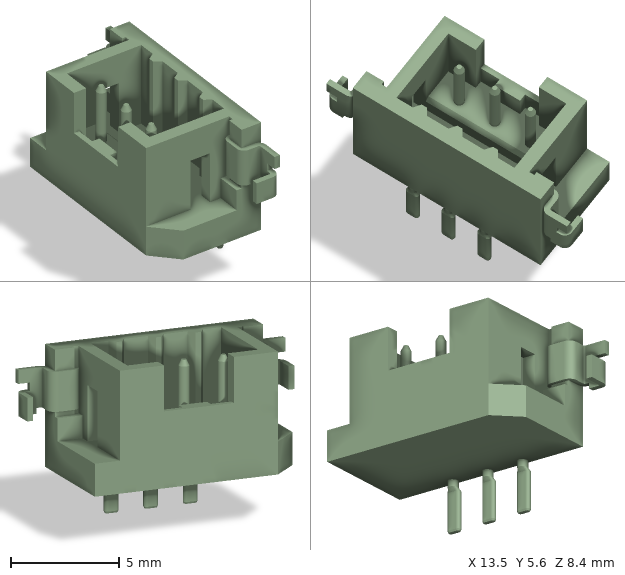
import cadquery as cq

body_width = 10.53
body_depth = 5.6
body_height = 5.89
half_width = body_width / 2

cavity_width = 6.62
front_wall = 0.69
back_wall = 0.72
cavity_back = body_depth - back_wall
front_floor_z = 2.5
rear_floor_z = 1.58
floor_step_y = 2.51
floor_chamfer = 0.2

window_width = 3.54
window_sill_z = 3.69
groove_gap = 1.43
groove_skin = 0.28

rib_base_width = 0.78
rib_tip_width = 0.3
rib_height = 0.36

shoulder_z = rear_floor_z
shoulder_width = 1.27
shoulder_x = half_width - shoulder_width
pedestal_depth = 1.39
pedestal_front = body_depth - pedestal_depth
pedestal_z = 2.67
block_depth = 1.11
block_front = body_depth - block_depth
pocket_width = 0.28
pocket_depth = 0.19
pocket_back = block_front + pocket_depth
opening_front = floor_step_y
opening_width = 1.11
opening_top = 4.27
corner_chamfer_depth = 1.2

pin_pitch = 2.0
pin_positions = [-pin_pitch, 0, pin_pitch]
pin_radius = 0.25
pin_y = 1.7
pin_top = 5.55
pin_cone_height = 0.28
pin_tip_radius = 0.12
pin_root_z = 0.68

tail_width = 0.72
tail_thickness = 0.32
tail_start_z = -0.53
tail_end_z = -2.51
tail_end_inset = 0.04
tail_end_height = 0.1
neck_end_z = -0.32
bend_radius = 0.39
bend_end_z = -0.11

overall_width = 13.5
half_clip = overall_width / 2
strip = 0.3
small_bend = 0.1
large_bend = 0.11
small_outer = small_bend + strip
large_outer = large_bend + strip
clip_bottom = 2.95
clip_top = 4.87
clip_depth = 1.31
clip_front = body_depth - clip_depth
clip_embed = 0.14
clip_root = pocket_back + clip_embed
notch_top = 4.21
notch_depth = 0.6
tab_bottom = pedestal_z
tab_top = 3.81
tab_root_width = 0.92


def box(x_range, y_range, z_range):
    """Box spanning the given (low, high) ranges."""
    size = [high - low for low, high in (x_range, y_range, z_range)]
    corner = (x_range[0], y_range[0], z_range[0])
    return cq.Workplane("XY").box(*size, centered=False).translate(corner)


def upright(outline, bottom, top):
    """Prism with the given XY outline between two heights."""
    return cq.Workplane("XY", origin=(0, 0, bottom)).polyline(outline).close().extrude(top - bottom)


def round_edge(solid, x, y, radius):
    """Fillet the vertical edge of the solid that stands at (x, y)."""
    near = 0.001
    around = cq.selectors.BoxSelector((x - near, y - near, 0), (x + near, y + near, body_height))
    return solid.edges("|Z").edges(around).fillet(radius)


def both_ends(right_half):
    """The given +X solid together with its mirror image at -X."""
    return right_half.union(right_half.mirror("YZ"))


def cavity():
    """Open-topped cavity whose floor steps down toward the back over a chamfered edge."""
    side_profile = [
        (front_wall, body_height),
        (front_wall, front_floor_z),
        (floor_step_y - floor_chamfer, front_floor_z),
        (floor_step_y, front_floor_z - floor_chamfer),
        (floor_step_y, rear_floor_z),
        (cavity_back, rear_floor_z),
        (cavity_back, body_height),
    ]
    return cq.Workplane("YZ").polyline(side_profile).close().extrude(cavity_width / 2, both=True)


def rib(x):
    """Tapered vertical rib on the back wall."""
    tip_y = cavity_back - rib_height
    section = [
        (x - rib_base_width / 2, cavity_back),
        (x - rib_tip_width / 2, tip_y),
        (x + rib_tip_width / 2, tip_y),
        (x + rib_base_width / 2, cavity_back),
    ]
    return upright(section, rear_floor_z, body_height)


def front_wall_cuts():
    """Window through the front wall and the two grooves down its inner face."""
    half_window = window_width / 2
    window = box((-half_window, half_window), (0, front_wall), (window_sill_z, body_height))
    groove = box((groove_gap / 2, half_window), (groove_skin, front_wall), (front_floor_z, window_sill_z))
    return window.union(both_ends(groove))


def end_cuts():
    """Shoulder, clip space, clip pocket and side opening at each end."""
    end_x = (shoulder_x, half_width)
    pocket_x = (shoulder_x, shoulder_x + pocket_width)
    wall_x = (cavity_width / 2, shoulder_x)
    opening_y = (opening_front, opening_front + opening_width)
    shoulder = box(end_x, (0, pedestal_front), (shoulder_z, body_height))
    clip_space = box(end_x, (pedestal_front, block_front), (pedestal_z, body_height))
    pocket = box(pocket_x, (block_front, pocket_back), (pedestal_z, body_height))
    opening = box(wall_x, opening_y, (shoulder_z, opening_top))
    return both_ends(shoulder.union(clip_space).union(pocket).union(opening))


def corner_chamfer():
    """Wedge that removes the front +X corner of the base."""
    outline = [(shoulder_x, 0), (half_width, 0), (half_width, corner_chamfer_depth)]
    return upright(outline, 0, shoulder_z)


def pin(x):
    """Round contact pin with a conical point."""
    half_profile = [
        (0, pin_root_z),
        (pin_radius, pin_root_z),
        (pin_radius, pin_top - pin_cone_height),
        (pin_tip_radius, pin_top),
        (0, pin_top),
    ]
    return (
        cq.Workplane("XZ", origin=(x, pin_y, 0))
        .polyline(half_profile)
        .close()
        .revolve(360, (0, 0, 0), (0, 1, 0))
    )


def tail(x):
    """Bent round neck flaring into a flattened tail, flush with the back face."""
    neck_y = body_depth - pin_radius
    tail_y = body_depth - tail_thickness / 2
    bend = (
        cq.Workplane("XY", origin=(x, neck_y, bend_end_z))
        .circle(pin_radius)
        .revolve(90, (0, -bend_radius, 0), (1, -bend_radius, 0))
    )
    neck = (
        cq.Workplane("XY", origin=(x, neck_y, neck_end_z))
        .circle(pin_radius)
        .extrude(bend_end_z - neck_end_z)
    )
    flare = (
        cq.Workplane("XY", origin=(x, neck_y, neck_end_z))
        .circle(pin_radius)
        .workplane(offset=tail_start_z - neck_end_z)
        .center(0, tail_y - neck_y)
        .slot2D(tail_width, tail_thickness)
        .loft(combine=True)
    )
    blade = (
        cq.Workplane("XY", origin=(x, tail_y, tail_end_z))
        .slot2D(tail_width, tail_thickness)
        .extrude(tail_start_z - tail_end_z)
        .faces("<Z")
        .chamfer(tail_end_height, tail_end_inset)
    )
    return bend.union(neck).union(flare).union(blade)


def clip_strip():
    """Bent strip running from the housing pocket out to its notched +X end."""
    leg_x = half_width + strip
    root_x = shoulder_x + strip
    inner_y = clip_front + strip
    outer_y = body_depth - strip
    outline = [
        (shoulder_x, clip_root),
        (shoulder_x, clip_front),
        (leg_x, clip_front),
        (leg_x, outer_y),
        (half_clip, outer_y),
        (half_clip, body_depth),
        (half_width, body_depth),
        (half_width, inner_y),
        (root_x, inner_y),
        (root_x, clip_root),
    ]
    bends = [
        (shoulder_x, clip_front, large_outer),
        (root_x, inner_y, large_bend),
        (leg_x, clip_front, large_outer),
        (half_width, inner_y, large_bend),
        (half_width, body_depth, small_outer),
        (leg_x, outer_y, small_bend),
    ]
    bent_strip = upright(outline, clip_bottom, clip_top)
    for x, y, radius in bends:
        bent_strip = round_edge(bent_strip, x, y, radius)
    notch = box((half_clip - notch_depth, half_clip), (outer_y, body_depth), (clip_bottom, notch_top))
    return bent_strip.cut(notch)


def clip_tab():
    """Lower tab of the clip, folded forward at the +X end."""
    root_x = half_clip - tab_root_width
    inner_x = half_clip - strip
    inner_y = body_depth - strip
    outline = [
        (root_x, body_depth),
        (half_clip, body_depth),
        (half_clip, clip_front),
        (inner_x, clip_front),
        (inner_x, inner_y),
        (root_x, inner_y),
    ]
    tab = upright(outline, tab_bottom, tab_top)
    tab = round_edge(tab, half_clip, body_depth, small_outer)
    return round_edge(tab, inner_x, inner_y, small_bend)


housing = box((-half_width, half_width), (0, body_depth), (0, body_height))
housing = housing.cut(cavity()).cut(front_wall_cuts()).cut(end_cuts()).cut(corner_chamfer())

result = housing.union(both_ends(clip_strip().union(clip_tab())))
for pin_x in pin_positions:
    result = result.union(rib(pin_x)).union(pin(pin_x)).union(tail(pin_x))